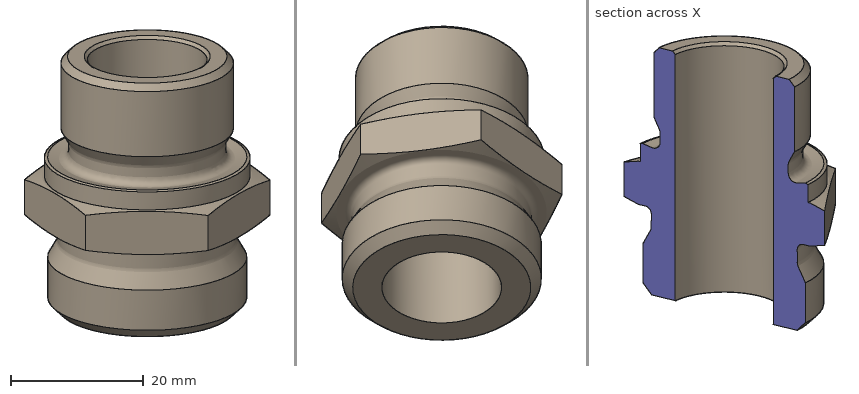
import cadquery as cq
import math

total_height = 40.0
hex_bottom = 14.0
hex_top = 21.0
collar_top = 24.0

lower_diameter = 30.0
lower_groove_diameter = 27.0
lower_chamfer = 1.6
lower_thread_top = 8.0

upper_diameter = 26.0
upper_groove_diameter = 23.7
upper_chamfer = 1.0
upper_thread_bottom = 28.6

groove_fillet = 1.0
collar_fillet = 1.2
groove_taper_angle = 30.0

collar_diameter = 31.0
sealing_ridge_diameter = 30.0
sealing_face_angle = 10.0
collar_bevel_angle = 15.0

across_flats = 32.0
hex_bevel_diameter = 31.7
hex_bevel_angle = 15.0
bevel_overrun = 0.4

bore_diameter = 18.0
bore_chamfer = 0.5


def slope(angle):
    return math.tan(math.radians(angle))


def revolve_profile(points):
    """Turn a closed (radius, height) outline about the Z axis."""
    return cq.Workplane("XZ").polyline(points).close().revolve(360, (0, 0), (0, 1))


def fillet_groove(body, diameter, bottom_fillet, top_fillet):
    """Round the lower and upper ends of the cylindrical groove floor."""
    radius = diameter / 2

    def at_groove_end(edge):
        box = edge.BoundingBox()
        return abs(box.xmax - radius) < 0.005 and box.zlen < 0.005

    ends = [edge for edge in body.edges("%CIRCLE").vals() if at_groove_end(edge)]
    lowest = min(ends, key=lambda edge: edge.Center().z)
    solid = body.findSolid().fillet(bottom_fillet, [lowest])
    remaining = [edge for edge in solid.Edges() if at_groove_end(edge)]
    highest = max(remaining, key=lambda edge: edge.Center().z)
    return cq.Workplane(solid.fillet(top_fillet, [highest]))


def make_hexagon():
    """Hexagon with two flats facing X and bevelled corners on both sides."""
    corner_diameter = across_flats / math.cos(math.radians(30))
    blank = (
        cq.Workplane("XY")
        .workplane(offset=hex_bottom)
        .transformed(rotate=(0, 0, 30))
        .polygon(6, corner_diameter)
        .extrude(hex_top - hex_bottom)
    )
    face_radius = hex_bevel_diameter / 2
    outer_radius = corner_diameter / 2 + bevel_overrun
    drop = (outer_radius - face_radius) * slope(hex_bevel_angle)
    envelope = revolve_profile([
        (0, hex_bottom),
        (face_radius, hex_bottom),
        (outer_radius, hex_bottom + drop),
        (outer_radius, hex_top - drop),
        (face_radius, hex_top),
        (0, hex_top),
    ])
    return blank.intersect(envelope)


def make_lower_end():
    radius = lower_diameter / 2
    groove_radius = lower_groove_diameter / 2
    taper_height = (radius - groove_radius) / slope(groove_taper_angle)
    return revolve_profile([
        (0, 0),
        (radius - lower_chamfer, 0),
        (radius, lower_chamfer),
        (radius, lower_thread_top),
        (groove_radius, lower_thread_top + taper_height),
        (groove_radius, hex_bottom),
        (0, hex_bottom),
    ])


def make_upper_end():
    """Collar, sealing face, groove and upper threaded end."""
    radius = upper_diameter / 2
    groove_radius = upper_groove_diameter / 2
    collar_radius = collar_diameter / 2
    ridge_radius = sealing_ridge_diameter / 2
    taper_height = (radius - groove_radius) / slope(groove_taper_angle)
    dish_depth = (ridge_radius - groove_radius) * slope(sealing_face_angle)
    bevel_drop = (collar_radius - ridge_radius) * slope(collar_bevel_angle)
    return revolve_profile([
        (0, hex_top),
        (collar_radius, hex_top),
        (collar_radius, collar_top - bevel_drop),
        (ridge_radius, collar_top),
        (groove_radius, collar_top - dish_depth),
        (groove_radius, upper_thread_bottom - taper_height),
        (radius, upper_thread_bottom),
        (radius, total_height - upper_chamfer),
        (radius - upper_chamfer, total_height),
        (0, total_height),
    ])


def make_bore():
    """Through bore, chamfered at the upper mouth."""
    radius = bore_diameter / 2
    return revolve_profile([
        (0, 0),
        (radius, 0),
        (radius, total_height - bore_chamfer),
        (radius + bore_chamfer, total_height),
        (0, total_height),
    ])


body = make_hexagon().union(make_lower_end()).union(make_upper_end())
body = fillet_groove(body, lower_groove_diameter, groove_fillet, groove_fillet)
body = fillet_groove(body, upper_groove_diameter, collar_fillet, groove_fillet)
result = body.cut(make_bore())